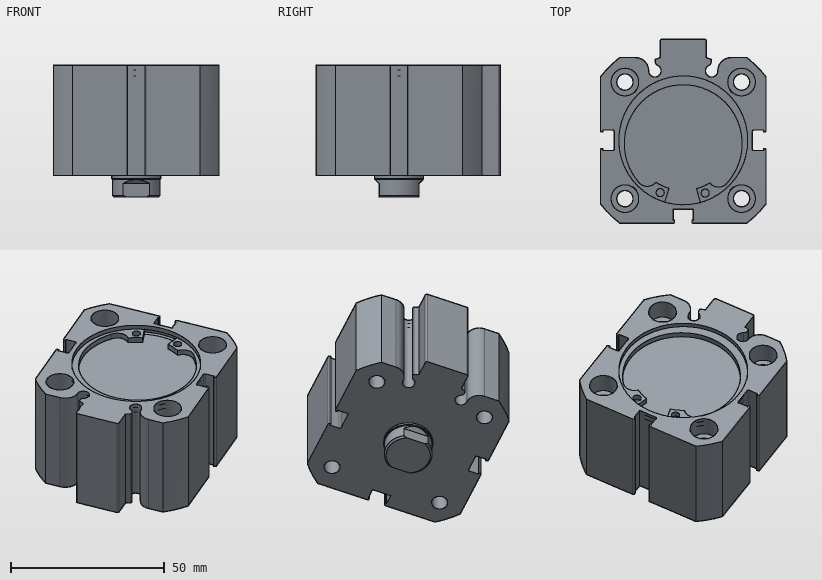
import cadquery as cq
import math


body_side = 54.0
body_height = 36.0
corner_radius = 34.0
half_side = body_side / 2

rail_width = 15.0
rail_height = 6.0
rail_corner_radius = 0.6
lug_reach = 1.7
lug_slope = math.radians(20)
lug_tip_radius = 0.25
lug_under_radius = 1.5
lug_under_angle = math.radians(63)
groove_radius = 2.0
groove_x = 9.25
groove_y = 22.6
shoulder_radius = half_side - groove_y

slot_depth = 4.5
slot_lip_radius = 0.4
side_slot_width = 6.6
side_slot_opening = 5.4
side_slot_lip = 0.85
side_slot_floor_radius = 0.5
front_slot_width = 6.4
front_slot_opening = 5.6
front_slot_lip = 1.0

hole_pitch = 38.0
hole_diameter = 5.2
counterbore_diameter = 9.0
counterbore_depth = 7.2

seat_radius = 21.0
ring_recess = 1.55
ring_thickness = 1.9
ring_outer_radius = 22.2
ring_inner_radius = 19.25
ring_inner_offset = 1.15
ear_inner_radius = 16.3
ear_start_angle = 16.0
ear_end_angle = 32.6
ear_blend_middle_angle = 37.9
ear_blend_middle_radius = 19.15
ear_blend_end_angle = 47.0
ear_blend_end_radius = 19.9
ear_hole_angle = 23.2
ear_hole_radius = 18.6
ear_hole_diameter = 2.65
ring_turn = -0.6
cover_thickness = 6.0
ring_bottom = body_height - ring_recess - ring_thickness
cover_bottom = ring_bottom - cover_thickness

rod_diameter = 16.0
rod_nose_diameter = 15.6
rod_projection = 7.0
rod_step = 0.9
rod_step_height = 0.35
rod_end_chamfer = 0.6
flat_width = 13.0
flat_start = 2.6


def on_arc(center, radius, angle):
    """Point on a circle, angle in radians from +X."""
    return (center[0] + radius * math.cos(angle), center[1] + radius * math.sin(angle))


def make_block():
    """Square block with its corners trimmed by one large cylinder."""
    square = cq.Workplane("XY").rect(body_side, body_side).extrude(body_height)
    return square.intersect(cq.Workplane("XY").circle(corner_radius).extrude(body_height))


def make_rail_gap():
    """Space between the +X side of the rail and the housing shoulder, groove included."""
    groove = (groove_x, groove_y)
    groove_outer = groove_x + groove_radius
    shoulder = (groove_outer + shoulder_radius, groove_y)
    spacing = groove_radius + lug_under_radius
    lug_center = on_arc(groove, spacing, math.pi - lug_under_angle)
    lug_join = on_arc(groove, groove_radius, math.pi - lug_under_angle)
    lug_middle = on_arc(lug_center, lug_under_radius, -lug_under_angle / 2)
    lug_side = (lug_center[0] + lug_under_radius, lug_center[1])
    lug_tip = (lug_side[0], half_side - lug_reach * math.tan(lug_slope))
    gap = (
        cq.Workplane("XY")
        .moveTo(rail_width / 2, half_side)
        .lineTo(*lug_tip)
        .lineTo(*lug_side)
        .threePointArc(lug_middle, lug_join)
        .threePointArc((groove_x, groove_y - groove_radius), (groove_outer, groove_y))
        .threePointArc(on_arc(shoulder, shoulder_radius, 0.75 * math.pi), (shoulder[0], half_side))
        .close()
        .extrude(body_height)
    )
    tip_edge = cq.selectors.NearestToPointSelector((*lug_tip, body_height / 2))
    return gap.edges("|Z").edges(tip_edge).fillet(lug_tip_radius)


def make_rail():
    """Rail standing on the +Y face, its two outer edges rounded."""
    return (
        cq.Workplane("XY")
        .rect(rail_width, rail_height)
        .extrude(body_height)
        .edges("|Z and >Y")
        .fillet(rail_corner_radius)
        .translate((0, half_side + rail_height / 2, 0))
    )


def make_slot(width, opening, lip, floor_radius, turn):
    """Undercut slot with rounded lips, made for the -Y face and then turned about Z."""
    mouth = half_side
    half_opening = opening / 2
    lip_offset = slot_lip_radius * (1 - math.sqrt(0.5))
    throat = (
        cq.Workplane("XY")
        .moveTo(-half_opening - slot_lip_radius, -mouth)
        .threePointArc(
            (-half_opening - lip_offset, lip_offset - mouth),
            (-half_opening, slot_lip_radius - mouth),
        )
        .lineTo(-half_opening, lip - mouth)
        .lineTo(half_opening, lip - mouth)
        .lineTo(half_opening, slot_lip_radius - mouth)
        .threePointArc(
            (half_opening + lip_offset, lip_offset - mouth),
            (half_opening + slot_lip_radius, -mouth),
        )
        .close()
        .extrude(body_height)
    )
    pocket_depth = slot_depth - lip
    pocket = cq.Workplane("XY").rect(width, pocket_depth).extrude(body_height)
    if floor_radius > 0:
        pocket = pocket.edges("|Z and >Y").fillet(floor_radius)
    pocket = pocket.translate((0, lip + pocket_depth / 2 - mouth, 0))
    return throat.union(pocket).rotate((0, 0, 0), (0, 0, 1), turn)


def make_cylinder(radius, bottom, top):
    return cq.Workplane("XY").workplane(offset=bottom).circle(radius).extrude(top - bottom)


def make_housing():
    rail_gap = make_rail_gap()
    housing = make_block().union(make_rail())
    housing = housing.cut(rail_gap).cut(rail_gap.mirror("YZ"))

    housing = housing.cut(make_slot(front_slot_width, front_slot_opening, front_slot_lip, 0, 0))
    for turn in (90, -90):
        side_slot = make_slot(
            side_slot_width, side_slot_opening, side_slot_lip, side_slot_floor_radius, turn
        )
        housing = housing.cut(side_slot)

    housing = (
        housing.faces(">Z")
        .workplane(origin=(0, 0, body_height))
        .rect(hole_pitch, hole_pitch, forConstruction=True)
        .vertices()
        .cboreHole(hole_diameter, counterbore_diameter, counterbore_depth)
    )

    housing = housing.cut(make_cylinder(seat_radius, cover_bottom, body_height))
    housing = housing.cut(
        make_cylinder(ring_outer_radius, ring_bottom, ring_bottom + ring_thickness)
    )
    return housing.cut(make_cylinder(rod_diameter / 2, 0, cover_bottom))


def make_cover():
    """Plain disc that closes the bore below the retaining ring."""
    return make_cylinder(seat_radius, cover_bottom, ring_bottom)


def make_retaining_ring():
    """Open ring with two drilled ears facing each other across the gap at -Y."""

    def polar(radius, angle, side):
        """Point at an angle from -Y, on the +X (side 1) or -X (side -1) half."""
        turn = math.radians(angle)
        return (side * radius * math.sin(turn), -radius * math.cos(turn))

    ear_middle_angle = (ear_start_angle + ear_end_angle) / 2
    ring = (
        cq.Workplane("XY")
        .workplane(offset=ring_bottom)
        .moveTo(*polar(ear_inner_radius, ear_start_angle, 1))
        .lineTo(*polar(ring_outer_radius, ear_start_angle, 1))
        .threePointArc((0, ring_outer_radius), polar(ring_outer_radius, ear_start_angle, -1))
        .lineTo(*polar(ear_inner_radius, ear_start_angle, -1))
        .threePointArc(
            polar(ear_inner_radius, ear_middle_angle, -1),
            polar(ear_inner_radius, ear_end_angle, -1),
        )
        .threePointArc(
            polar(ear_blend_middle_radius, ear_blend_middle_angle, -1),
            polar(ear_blend_end_radius, ear_blend_end_angle, -1),
        )
        .threePointArc(
            (0, ring_inner_radius - ring_inner_offset),
            polar(ear_blend_end_radius, ear_blend_end_angle, 1),
        )
        .threePointArc(
            polar(ear_blend_middle_radius, ear_blend_middle_angle, 1),
            polar(ear_inner_radius, ear_end_angle, 1),
        )
        .threePointArc(
            polar(ear_inner_radius, ear_middle_angle, 1),
            polar(ear_inner_radius, ear_start_angle, 1),
        )
        .close()
        .extrude(ring_thickness)
    )
    ear_holes = (
        cq.Workplane("XY")
        .workplane(offset=ring_bottom)
        .pushPoints([polar(ear_hole_radius, ear_hole_angle, side) for side in (-1, 1)])
        .circle(ear_hole_diameter / 2)
        .extrude(ring_thickness)
    )
    return ring.cut(ear_holes).rotate((0, 0, 0), (0, 0, 1), ring_turn)


def make_rod():
    """Stepped rod reaching up to the cover, with two wrench flats on its free end."""
    radius = rod_diameter / 2
    nose_radius = rod_nose_diameter / 2
    rod = (
        cq.Workplane("XZ")
        .moveTo(0, cover_bottom)
        .lineTo(radius, cover_bottom)
        .lineTo(radius, -rod_step)
        .lineTo(nose_radius, -rod_step - rod_step_height)
        .lineTo(nose_radius, rod_end_chamfer - rod_projection)
        .lineTo(nose_radius - rod_end_chamfer, -rod_projection)
        .lineTo(0, -rod_projection)
        .close()
        .revolve(360, (0, 0, 0), (0, 1, 0))
    )
    flat_y = flat_width / 2
    flat = (
        cq.Workplane("YZ")
        .moveTo(flat_y, -rod_projection)
        .lineTo(flat_y, -flat_start)
        .lineTo(flat_y + flat_start, 0)
        .lineTo(flat_y + flat_start, -rod_projection)
        .close()
        .extrude(radius, both=True)
    )
    return rod.cut(flat).cut(flat.mirror("XZ"))


housing = make_housing()
cover = make_cover()
retaining_ring = make_retaining_ring()
rod = make_rod()

result = cq.Compound.makeCompound([housing.val(), cover.val(), retaining_ring.val(), rod.val()])